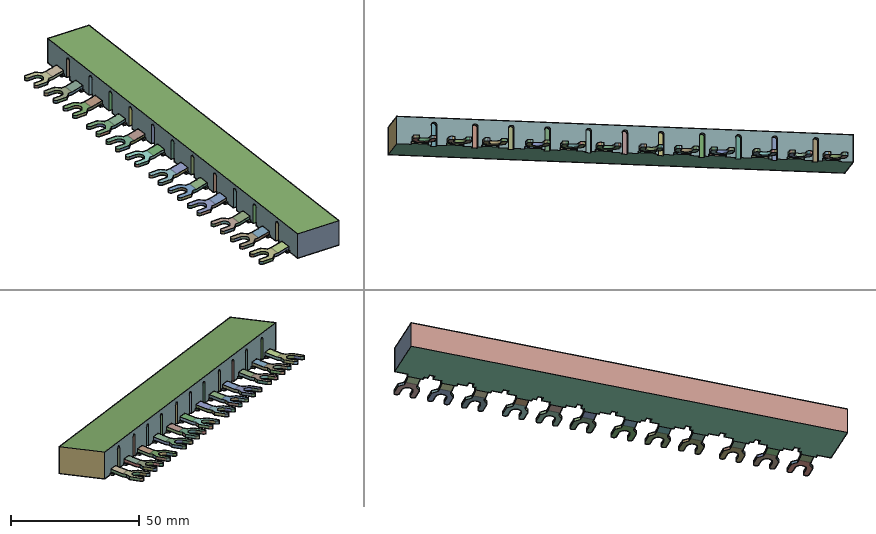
import cadquery as cq
import math

BODY_LENGTH = 181.0
BODY_DEPTH = 19.2
BODY_HEIGHT = 11.0

GROUP_COUNT = 4
TERMINALS_PER_GROUP = 3
ROW_SPAN = 163.0
GROUP_SPAN = 28.0
GROUP_PITCH = (ROW_SPAN - GROUP_SPAN) / (GROUP_COUNT - 1)
TERMINAL_PITCH = GROUP_SPAN / (TERMINALS_PER_GROUP - 1)

GROOVE_WIDTH = 2.2
GROOVE_DEPTH = 2.2
GROOVE_TOP_MARGIN = 1.8
GROOVE_OFFSET = 8.1

REACH = 14.1
DROP = 0.7
SHEET_THICKNESS = 1.3
STRAP_WIDTH = 5.0
BEND_DISTANCE = 5.0
STRAP_SLOPE = 15.0
FORK_SLOPE = 2.0

FORK_WIDTH = 9.0
HIP_START = 6.7
HIP_LENGTH = (FORK_WIDTH - STRAP_WIDTH) / 2
MOUTH_WIDTH = 4.5
MOUTH_ROOT = 8.1
TIP_RADIUS = 1.0

COLLAR_WIDTH = 6.7
COLLAR_LENGTH = 1.5
COLLAR_HEIGHT = 0.7


def centred_row(count, pitch):
    """Positions of evenly spaced items, symmetric about zero."""
    return [(i - (count - 1) / 2) * pitch for i in range(count)]


def make_body():
    return cq.Workplane("XY").box(BODY_LENGTH, BODY_DEPTH, BODY_HEIGHT, centered=(True, False, False))


def make_groove():
    radius = GROOVE_WIDTH / 2
    arc_top = BODY_HEIGHT - GROOVE_TOP_MARGIN
    return (
        cq.Workplane("XZ")
        .moveTo(-radius, 0)
        .lineTo(-radius, arc_top - radius)
        .threePointArc((0, arc_top), (radius, arc_top - radius))
        .lineTo(radius, 0)
        .close()
        .extrude(-GROOVE_DEPTH)
    )


def make_bent_sheet():
    """Bent strip as wide as the fork, running from the front face to the tips."""
    tip_z = -DROP
    bend_z = tip_z + (REACH - BEND_DISTANCE) * math.tan(math.radians(FORK_SLOPE))
    root_z = bend_z + BEND_DISTANCE * math.tan(math.radians(STRAP_SLOPE))
    underside = [(0, root_z), (-BEND_DISTANCE, bend_z), (-REACH, tip_z)]
    upper_side = [(y, z + SHEET_THICKNESS) for y, z in reversed(underside)]
    return cq.Workplane("YZ").polyline(underside + upper_side).close().extrude(FORK_WIDTH / 2, both=True)


def make_fork_outline():
    """Upright prism with the plan shape of the strap and the fork."""
    half_strap = STRAP_WIDTH / 2
    half_fork = FORK_WIDTH / 2
    half_mouth = MOUTH_WIDTH / 2
    hip_end = HIP_START + HIP_LENGTH
    mouth_centre = MOUTH_ROOT + half_mouth
    prism_half_height = BODY_HEIGHT
    return (
        cq.Workplane("XY")
        .moveTo(-half_strap, 0)
        .lineTo(-half_strap, -HIP_START)
        .lineTo(-half_fork, -hip_end)
        .lineTo(-half_fork, -REACH)
        .lineTo(-half_mouth, -REACH)
        .lineTo(-half_mouth, -mouth_centre)
        .threePointArc((0, -MOUTH_ROOT), (half_mouth, -mouth_centre))
        .lineTo(half_mouth, -REACH)
        .lineTo(half_fork, -REACH)
        .lineTo(half_fork, -hip_end)
        .lineTo(half_strap, -HIP_START)
        .lineTo(half_strap, 0)
        .close()
        .extrude(prism_half_height, both=True)
        .faces("<Y")
        .edges("|Z")
        .fillet(TIP_RADIUS)
    )


def make_terminal():
    collar = (
        cq.Workplane("XY")
        .box(COLLAR_WIDTH, COLLAR_LENGTH, COLLAR_HEIGHT, centered=(True, False, False))
        .translate((0, -COLLAR_LENGTH, 0))
    )
    return make_bent_sheet().intersect(make_fork_outline()).union(collar)


group_centres = centred_row(GROUP_COUNT, GROUP_PITCH)
terminal_offsets = centred_row(TERMINALS_PER_GROUP, TERMINAL_PITCH)

groove_positions = centred_row(GROUP_COUNT - 1, GROUP_PITCH)
for centre in group_centres:
    groove_positions += [centre - GROOVE_OFFSET, centre + GROOVE_OFFSET]

result = make_body()

groove = make_groove()
for x in groove_positions:
    result = result.cut(groove.translate((x, 0, 0)))

terminal = make_terminal()
for centre in group_centres:
    for offset in terminal_offsets:
        result = result.union(terminal.translate((centre + offset, 0, 0)))